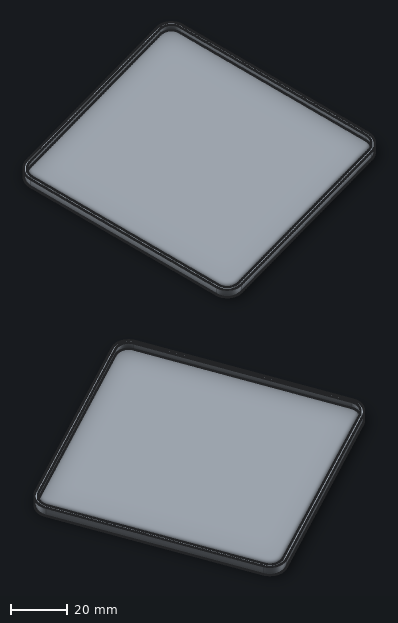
import cadquery as cq

length = 95.5
width = 89.5
height = 4.2
corner_radius = 6.3

wall = 1.2
floor = 1.1


def rounded_plate(inset, thickness):
    """Plate with rounded corners, set in from the outer outline, resting on Z = 0."""
    return (
        cq.Workplane("XY")
        .rect(length - 2 * inset, width - 2 * inset)
        .extrude(thickness)
        .edges("|Z")
        .fillet(corner_radius - inset)
    )


recess = rounded_plate(wall, height - floor).translate((0, 0, floor))

result = rounded_plate(0, height).cut(recess)